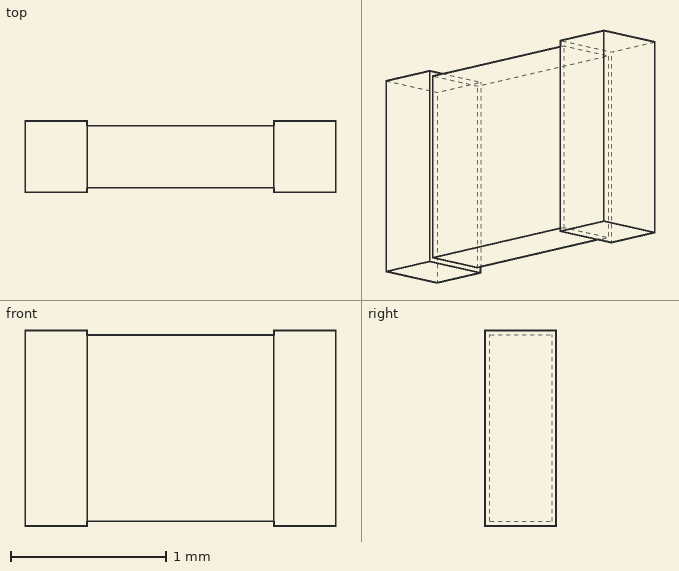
import cadquery as cq

total_length = 2.0
body_thickness = 0.4
body_height = 1.2
terminal_length = 0.4
terminal_overhang = 0.03

terminal_thickness = body_thickness + 2 * terminal_overhang
terminal_height = body_height + 2 * terminal_overhang
terminal_center_x = (total_length - terminal_length) / 2


def make_body():
    """Plain block running the full length, through both terminals."""
    return cq.Workplane("XY").box(total_length, body_thickness, body_height)


def make_terminal(center_x):
    """End block that encloses the body around center_x."""
    terminal = cq.Workplane("XY").box(terminal_length, terminal_thickness, terminal_height)
    return terminal.translate((center_x, 0, 0))


result = make_body()
for side in (-1, 1):
    result = result.union(make_terminal(side * terminal_center_x))